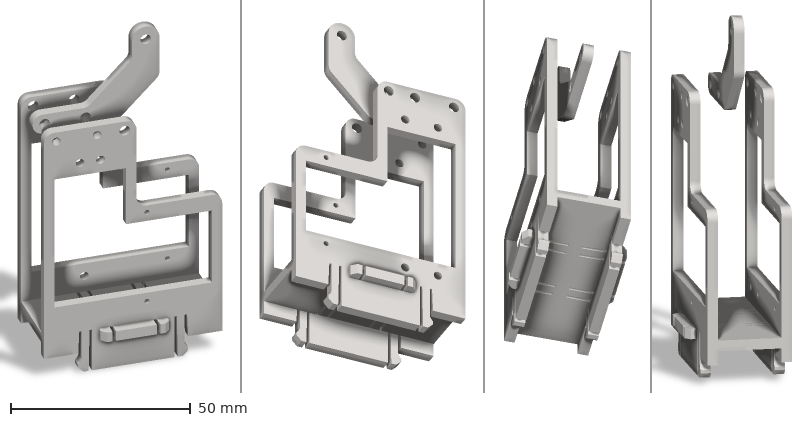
import cadquery as cq
import math


total_height = 101.0
frame_length = 52.0
frame_width = 24.0
base_span = 30.0
sheet = 3.0

slot_depth = 13.0
slot_width_end = 0.7
slot_width_open = 1.0
hook_width = 3.0
hook_barb = 1.0
hook_lead_in = 1.5
hook_ledge_chamfer = 0.5
hook_ramp_length = 1.0
bottom_tongue_half = 12.0
base_tongue_half = 6.0

plate_top = 78.0
step_height = 50.0
tower_length = 27.0
rail = 3.0
window_bottom = 22.0
window_step = 45.0
window_top = 63.0
corner_radius = 3.0

pivot_diameter = 3.0
pivot_height = 75.0
pivot_front_y = 3.5
pivot_middle_y = 15.5
pivot_rear_y = 23.5
mount_diameter = 2.5
mount_ys = (8.5, 18.5)
mount_low_height = 18.0
mount_high_height = 67.0
far_mount_ys = (10.5, 16.5)
servo_diameter = 1.5
servo_heights = (19.3, 47.8)
near_servo_y = 42.7
far_servo_y = 30.0

arm_head_y = 33.0
arm_head_radius = 4.0
arm_tail_radius = 3.0
arm_tail_bend_y = 16.0
arm_diagonal_width = 10.2
arm_bend_radius = 3.0

grip_depth = (base_span - frame_width) / 2
shoulder_depth = grip_depth + sheet
middle_y = frame_length / 2
base_top = slot_depth
base_bottom = base_top - sheet
base_slot_half = base_tongue_half + hook_width + hook_barb - hook_ledge_chamfer


def snap_tab_half(tongue_half):
    """Half of a snap tab as (distance from its axis, depth from its tip), from the axis outwards."""
    stem = tongue_half + hook_width
    barb = stem + hook_barb
    return [
        (tongue_half, 0),
        (tongue_half, slot_depth),
        (tongue_half + slot_width_end, slot_depth),
        (tongue_half + slot_width_open, 0),
        (barb - hook_lead_in, 0),
        (barb, hook_lead_in),
        (barb, grip_depth - hook_ledge_chamfer),
        (barb - hook_ledge_chamfer, grip_depth),
        (stem, grip_depth + hook_ramp_length),
        (stem, slot_depth),
        (stem + slot_width_end, slot_depth),
        (stem + slot_width_open, shoulder_depth),
    ]


def snap_tab(tongue_half):
    """Whole snap tab outline, from its negative side to its positive side."""
    half = snap_tab_half(tongue_half)
    return [(-across, depth) for across, depth in reversed(half)] + half


def cross_holes(plate, diameter, places):
    """Drill holes along X through a plate at (y, z) places."""
    drills = (
        cq.Workplane("YZ", origin=(-frame_width, 0, 0))
        .pushPoints(places)
        .circle(diameter / 2)
        .extrude(2 * frame_width)
    )
    return plate.cut(drills)


def x_edges_above(height):
    """Selector for edges whose centre lies above a height."""
    reach = total_height
    return cq.selectors.BoxSelector((-reach, -reach, height), (reach, reach, reach))


def make_side_plate(start_x):
    """Side plate with its window, bottom snap tab, base slot and rear pivot hole."""
    plane = cq.Workplane("YZ", origin=(start_x, 0, 0))
    tab = [(middle_y + across, depth) for across, depth in snap_tab(bottom_tongue_half)]
    upper_outline = [
        (frame_length, shoulder_depth),
        (frame_length, step_height),
        (tower_length, step_height),
        (tower_length, plate_top),
        (0, plate_top),
    ]
    plate = plane.polyline([(0, shoulder_depth), *tab, *upper_outline]).close().extrude(sheet)
    plate = plate.edges("|X").edges(x_edges_above(window_step)).fillet(corner_radius)

    window = (
        plane.moveTo(rail, window_bottom)
        .lineTo(frame_length - rail, window_bottom)
        .lineTo(frame_length - rail, window_step)
        .lineTo(tower_length - rail, window_step)
        .lineTo(tower_length - rail, window_top)
        .lineTo(rail, window_top)
        .close()
        .extrude(sheet)
    )
    base_slot = (
        plane.center(middle_y, (base_bottom + base_top) / 2)
        .rect(2 * base_slot_half, sheet)
        .extrude(sheet)
    )
    plate = plate.cut(window).cut(base_slot)
    return cross_holes(plate, pivot_diameter, [(pivot_rear_y, pivot_height)])


def make_near_plate():
    """Side plate on the -X side."""
    plate = make_side_plate(-frame_width / 2)
    pivots = [(y, pivot_height) for y in (pivot_front_y, pivot_middle_y)]
    mounts = [(y, z) for y in mount_ys for z in (mount_low_height, mount_high_height)]
    servo_screws = [(near_servo_y, z) for z in servo_heights]
    plate = cross_holes(plate, pivot_diameter, pivots)
    plate = cross_holes(plate, mount_diameter, mounts)
    return cross_holes(plate, servo_diameter, servo_screws)


def make_far_plate():
    """Side plate on the +X side, with narrower pivots and its own mounting holes."""
    plate = make_side_plate(frame_width / 2 - sheet)
    pivots = [(y, pivot_height) for y in (pivot_front_y, pivot_middle_y)]
    mounts = [(y, mount_high_height) for y in far_mount_ys]
    servo_screws = [(far_servo_y, z) for z in servo_heights]
    plate = cross_holes(plate, mount_diameter, pivots + mounts)
    return cross_holes(plate, servo_diameter, servo_screws)


def make_base():
    """Horizontal base with a snap tab at each end, reaching through both side plates."""
    tab = snap_tab(base_tongue_half)
    tip_x = base_span / 2
    inner_x = tip_x - shoulder_depth
    right_end = [(tip_x - depth, middle_y + across) for across, depth in tab]
    left_end = [(depth - tip_x, middle_y - across) for across, depth in tab]
    outline = [
        (inner_x, 0),
        *right_end,
        (inner_x, frame_length),
        (-inner_x, frame_length),
        *left_end,
        (-inner_x, 0),
    ]
    return cq.Workplane("XY", origin=(0, 0, base_bottom)).polyline(outline).close().extrude(sheet)


def make_arm():
    """Cranked arm: upright head, 45 degree diagonal and horizontal tail."""
    head_z = total_height - arm_head_radius
    head_front = arm_head_y - arm_head_radius
    head_rear = arm_head_y + arm_head_radius
    tail_top = pivot_height + arm_tail_radius
    tail_bottom = pivot_height - arm_tail_radius
    inner_offset = tail_top - arm_tail_bend_y
    outer_offset = inner_offset - arm_diagonal_width * math.sqrt(2)
    bends = [
        (head_front, head_front + inner_offset),
        (arm_tail_bend_y, tail_top),
        (head_rear, head_rear + outer_offset),
        (tail_bottom - outer_offset, tail_bottom),
    ]
    arm = (
        cq.Workplane("YZ", origin=(-sheet / 2, 0, 0))
        .moveTo(head_rear, head_z)
        .threePointArc((arm_head_y, total_height), (head_front, head_z))
        .lineTo(*bends[0])
        .lineTo(*bends[1])
        .lineTo(arm_tail_radius, tail_top)
        .threePointArc((0, pivot_height), (arm_tail_radius, tail_bottom))
        .lineTo(*bends[3])
        .lineTo(*bends[2])
        .close()
        .extrude(sheet)
    )
    for y, z in bends:
        arm = arm.edges(cq.selectors.NearestToPointSelector((0, y, z))).fillet(arm_bend_radius)
    holes = [
        (arm_head_y, head_z),
        (pivot_front_y, pivot_height),
        (pivot_middle_y, pivot_height),
    ]
    return cross_holes(arm, pivot_diameter, holes)


near_plate = make_near_plate()
far_plate = make_far_plate()
base = make_base()
arm = make_arm()

result = cq.Compound.makeCompound([near_plate.val(), far_plate.val(), base.val(), arm.val()])